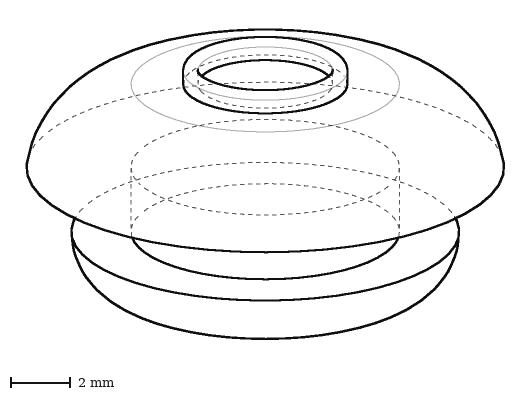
import cadquery as cq

flange_height = 2.0
cap_bottom = 4.3
cap_top = 7.28
total_height = 8.0

cap_radius = 8.0
stem_radius = 4.5
flange_radius = stem_radius + flange_height
ring_outer_radius = 2.75
ring_inner_radius = 2.25


def arc_midpoint_offset(width, drop):
    """Offset (outward, down) to the middle of an arc that starts out horizontal."""
    chord_squared = width**2 + drop**2
    radius = chord_squared / (2 * drop)
    sin_half = drop / chord_squared**0.5
    cos_half = width / chord_squared**0.5
    return radius * sin_half, radius * (1 - cos_half)


cap_mid_out, cap_mid_down = arc_midpoint_offset(cap_radius - stem_radius, cap_top - cap_bottom)
flange_mid_out, flange_mid_up = arc_midpoint_offset(flange_height, flange_height)

body = (
    cq.Workplane("XZ")
    .lineTo(stem_radius, 0)
    .threePointArc((stem_radius + flange_mid_out, flange_mid_up), (flange_radius, flange_height))
    .lineTo(stem_radius, flange_height)
    .lineTo(stem_radius, cap_bottom)
    .lineTo(cap_radius, cap_bottom)
    .threePointArc((stem_radius + cap_mid_out, cap_top - cap_mid_down), (stem_radius, cap_top))
    .lineTo(0, cap_top)
    .close()
    .revolve(360, (0, 0, 0), (0, 1, 0))
)

rim_radius = (ring_outer_radius - ring_inner_radius) / 2
rim_start = total_height - rim_radius

ring = (
    cq.Workplane("XZ")
    .moveTo(ring_inner_radius, cap_top)
    .lineTo(ring_outer_radius, cap_top)
    .lineTo(ring_outer_radius, rim_start)
    .threePointArc((ring_outer_radius - rim_radius, total_height), (ring_inner_radius, rim_start))
    .close()
    .revolve(360, (0, 0, 0), (0, 1, 0))
)

result = body.union(ring)